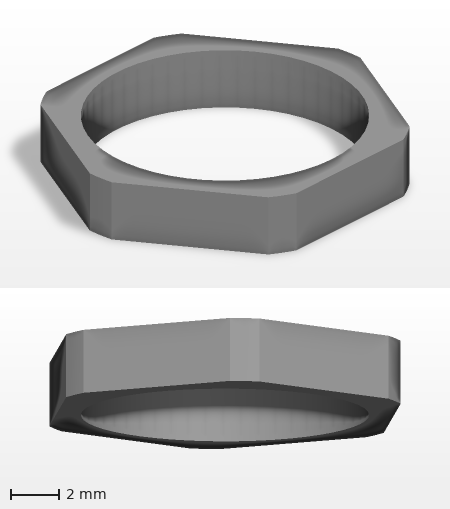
import cadquery as cq
import math

across_flats = 14.0
corner_diameter = 15.5
bore_diameter = 12.0
thickness = 2.67

side_count = 6
corner_step = 360 / side_count
first_corner_angle = 90
sharp_corner_radius = across_flats / 2 / math.cos(math.pi / side_count)


def corner_point(index):
    """Sharp hexagon corner, counted counterclockwise from +Y."""
    angle = math.radians(first_corner_angle + index * corner_step)
    return (sharp_corner_radius * math.cos(angle), sharp_corner_radius * math.sin(angle))


def cylinder(diameter):
    """Full-thickness cylinder about Z."""
    return cq.Workplane("XY").circle(diameter / 2).extrude(thickness)


hexagon_corners = [corner_point(index) for index in range(side_count)]
hexagon = cq.Workplane("XY").polyline(hexagon_corners).close().extrude(thickness)

rounded_hexagon = hexagon.intersect(cylinder(corner_diameter))

result = rounded_hexagon.cut(cylinder(bore_diameter))